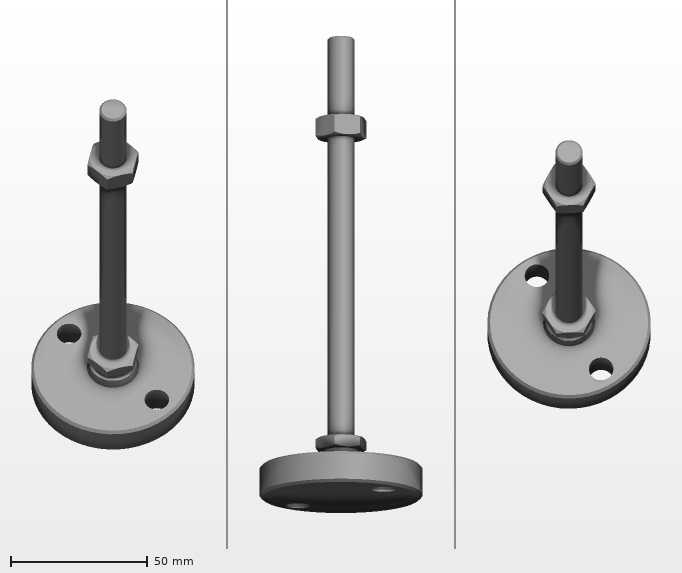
import cadquery as cq
import math

PLATE_DIAMETER = 60.0
PLATE_HEIGHT = 11.5
PLATE_CHAMFER = 1.0
COLLAR_BASE_DIAMETER = 19.0
COLLAR_TOP_DIAMETER = 17.3
COLLAR_HEIGHT = 3.1
MOUNT_HOLE_DIAMETER = 9.0
MOUNT_HOLE_SPACING = 44.0

ACROSS_FLATS = 17.0
ACROSS_CORNERS = ACROSS_FLATS / math.cos(math.pi / 6)
HEX_CHAMFER_ANGLE = math.radians(30)

NECK_BASE_DIAMETER = 15.0
NECK_TOP_DIAMETER = 12.6
NECK_HEIGHT = 2.9
SPINDLE_HEX_HEIGHT = 4.5
ROD_DIAMETER = 10.0
ROD_LENGTH = 150.0
ROD_CHAMFER = 0.75

NUT_HEIGHT = 7.6
NUT_TOP_BELOW_TIP = 30.0

COLLAR_TOP_Z = PLATE_HEIGHT + COLLAR_HEIGHT
HEX_BOTTOM_Z = COLLAR_TOP_Z + NECK_HEIGHT
HEX_TOP_Z = HEX_BOTTOM_Z + SPINDLE_HEX_HEIGHT
ROD_TIP_Z = HEX_TOP_Z + ROD_LENGTH
NUT_BOTTOM_Z = ROD_TIP_Z - NUT_TOP_BELOW_TIP - NUT_HEIGHT


def cone(bottom_diameter, top_diameter, height, bottom_z):
    """Truncated cone standing on the Z axis."""
    return cq.Workplane(
        cq.Solid.makeCone(bottom_diameter / 2, top_diameter / 2, height, pnt=cq.Vector(0, 0, bottom_z))
    )


def hexagon(height, bottom_z):
    """Hexagonal prism with corners on the X axis, both ends turned to a shallow cone."""
    prism = cq.Workplane("XY", origin=(0, 0, bottom_z)).polygon(6, ACROSS_CORNERS).extrude(height)
    face_radius = ACROSS_FLATS / 2
    corner_radius = ACROSS_CORNERS / 2
    corner_drop = (corner_radius - face_radius) * math.tan(HEX_CHAMFER_ANGLE)
    envelope = (
        cq.Workplane("XZ", origin=(0, 0, bottom_z))
        .moveTo(0, 0)
        .lineTo(face_radius, 0)
        .lineTo(corner_radius, corner_drop)
        .lineTo(corner_radius, height - corner_drop)
        .lineTo(face_radius, height)
        .lineTo(0, height)
        .close()
        .revolve(360, (0, 0, 0), (0, 1, 0))
    )
    return prism.intersect(envelope)


def make_foot_plate():
    disc = cq.Workplane("XY").circle(PLATE_DIAMETER / 2).extrude(PLATE_HEIGHT)
    disc = disc.edges().chamfer(PLATE_CHAMFER)
    collar = cone(COLLAR_BASE_DIAMETER, COLLAR_TOP_DIAMETER, COLLAR_HEIGHT, PLATE_HEIGHT)
    mount_holes = (
        cq.Workplane("XY")
        .pushPoints([(side * MOUNT_HOLE_SPACING / 2, 0) for side in (-1, 1)])
        .circle(MOUNT_HOLE_DIAMETER / 2)
        .extrude(PLATE_HEIGHT)
    )
    return disc.union(collar).cut(mount_holes)


def make_spindle():
    neck = cone(NECK_BASE_DIAMETER, NECK_TOP_DIAMETER, NECK_HEIGHT, COLLAR_TOP_Z)
    rod = (
        cq.Workplane("XY", origin=(0, 0, HEX_TOP_Z))
        .circle(ROD_DIAMETER / 2)
        .extrude(ROD_LENGTH)
        .edges()
        .chamfer(ROD_CHAMFER)
    )
    return neck.union(hexagon(SPINDLE_HEX_HEIGHT, HEX_BOTTOM_Z)).union(rod)


def make_lock_nut():
    bore = cq.Workplane("XY", origin=(0, 0, NUT_BOTTOM_Z)).circle(ROD_DIAMETER / 2).extrude(NUT_HEIGHT)
    return hexagon(NUT_HEIGHT, NUT_BOTTOM_Z).cut(bore)


foot_plate = make_foot_plate()
spindle = make_spindle()
lock_nut = make_lock_nut()

result = cq.Compound.makeCompound([foot_plate.val(), spindle.val(), lock_nut.val()])